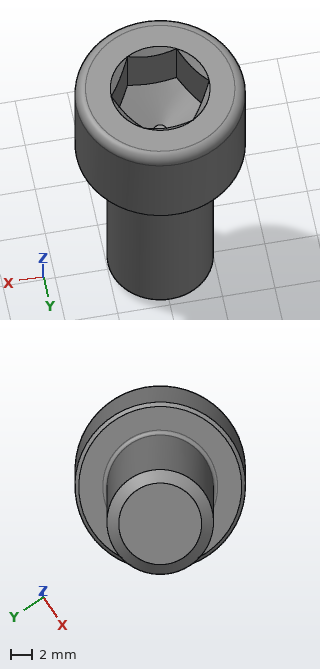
import cadquery as cq
import math

total_length = 30.0
shank_diameter = 10.0
head_diameter = 16.0
head_height = shank_diameter
bearing_z = total_length - head_height

head_top_radius = 1.0
head_bottom_chamfer = 0.35
neck_fillet = 0.4
tip_chamfer_height = 1.0
tip_chamfer_width = 1.1

socket_across_flats = 8.1
socket_across_corners = socket_across_flats / math.cos(math.pi / 6)
socket_depth = 5.0
cone_tip_diameter = 1.25
cone_angle = 30.0
mouth_angle = 45.0


def make_body():
    """Revolve the half profile of head and shank about Z."""
    shank_radius = shank_diameter / 2
    head_radius = head_diameter / 2
    arc_offset = head_top_radius * math.sin(math.pi / 4)
    arc_centre_x = head_radius - head_top_radius
    arc_centre_z = total_length - head_top_radius
    fillet_centre_x = shank_radius + neck_fillet
    fillet_centre_z = bearing_z - neck_fillet
    fillet_offset = neck_fillet * math.sin(math.pi / 4)
    return (
        cq.Workplane("XZ")
        .lineTo(shank_radius - tip_chamfer_width, 0)
        .lineTo(shank_radius, tip_chamfer_height)
        .lineTo(shank_radius, fillet_centre_z)
        .threePointArc(
            (fillet_centre_x - fillet_offset, fillet_centre_z + fillet_offset),
            (fillet_centre_x, bearing_z),
        )
        .lineTo(head_radius - head_bottom_chamfer, bearing_z)
        .lineTo(head_radius, bearing_z + head_bottom_chamfer)
        .lineTo(head_radius, arc_centre_z)
        .threePointArc(
            (arc_centre_x + arc_offset, arc_centre_z + arc_offset),
            (arc_centre_x, total_length),
        )
        .lineTo(0, total_length)
        .close()
        .revolve(360, (0, 0), (0, 1))
    )


def make_socket():
    """Hexagonal hole with a conical floor and a countersunk mouth."""
    corner_radius = socket_across_corners / 2
    cone_tip_radius = cone_tip_diameter / 2
    cone_depth = (corner_radius - cone_tip_radius) * math.tan(math.radians(cone_angle))
    floor_z = total_length - socket_depth
    hexagon = (
        cq.Workplane("XY", origin=(0, 0, floor_z - cone_depth))
        .polygon(6, socket_across_corners)
        .extrude(socket_depth + cone_depth)
    )
    floor_envelope = (
        cq.Workplane("XZ", origin=(0, 0, floor_z))
        .moveTo(0, -cone_depth)
        .lineTo(cone_tip_radius, -cone_depth)
        .lineTo(corner_radius, 0)
        .lineTo(corner_radius, socket_depth)
        .lineTo(0, socket_depth)
        .close()
        .revolve(360, (0, 0), (0, 1))
    )
    mouth_depth = corner_radius * math.tan(math.radians(mouth_angle))
    mouth = (
        cq.Workplane("XZ", origin=(0, 0, total_length))
        .lineTo(corner_radius, 0)
        .lineTo(0, -mouth_depth)
        .close()
        .revolve(360, (0, 0), (0, 1))
    )
    return hexagon.intersect(floor_envelope).union(mouth)


result = make_body().cut(make_socket())